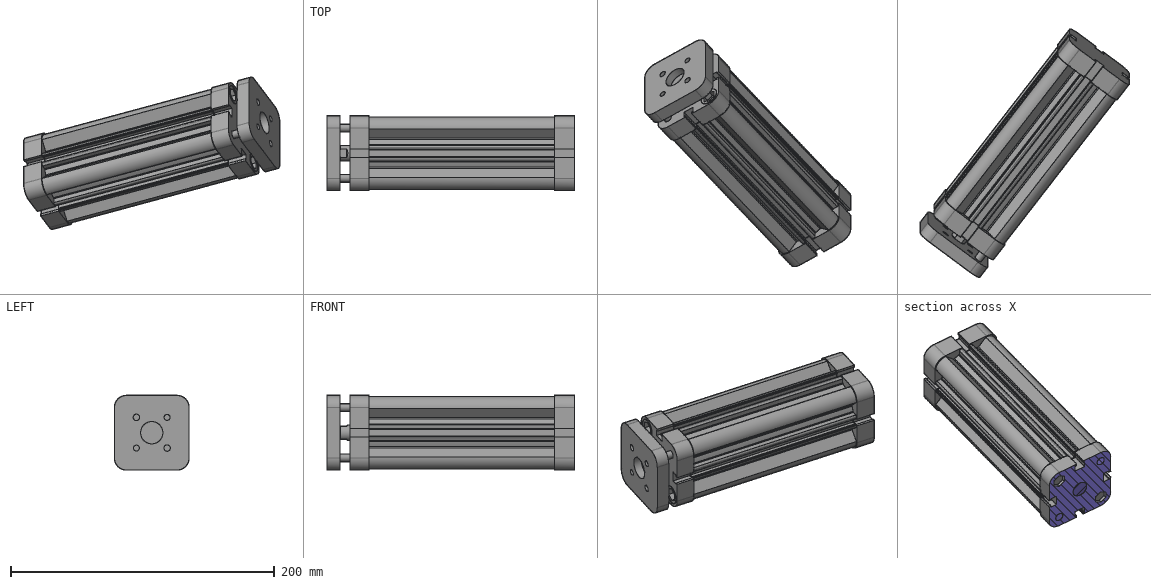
import cadquery as cq
import math

total_length = 188.0
plate_thickness = 10.0
housing_start = 17.3
front_cap_length = 14.5
rear_cap_length = 15.0
barrel_start = housing_start + front_cap_length
barrel_end = total_length - rear_cap_length
barrel_length = barrel_end - barrel_start

cap_width = 57.0
cap_half_width = cap_width / 2
cap_corner_radius = 9.4
corner_axis_offset = cap_half_width - cap_corner_radius

slot_opening = 6.2
slot_half_opening = slot_opening / 2
cap_slot_half_width = 4.1
cap_lip_thickness = 1.9
cap_slot_depth = 6.5

barrel_half_width = 27.6
barrel_corner_radius = 9.2
barrel_corner_start = barrel_half_width - barrel_corner_radius
pocket_depth = 6.8
core_radius = 23.3
core_half_width = 10.5

rail_half_width = 6.0
rail_root_chamfer = 0.5
rail_edge_width = 1.7
rail_edge_drop = 1.0
barrel_slot_chamfer = 0.5
barrel_lip_thickness = 1.5
barrel_slot_depth = 4.9

rod_radius = 6.0
rod_chamfer = 0.4
rod_flat_height = 5.0
rod_flat_length = 4.9
rod_flat_runout = rod_radius - rod_flat_height

guide_radius = 3.0
guide_places = [(-corner_axis_offset, corner_axis_offset), (corner_axis_offset, -corner_axis_offset)]
socket_places = [(corner_axis_offset, corner_axis_offset), (-corner_axis_offset, -corner_axis_offset)]
socket_flat_width = 9.0
socket_depth = 4.7
head_radius = 7.1
head_sink = 0.4

recess_radius = 8.5
recess_depth = 6.4
plate_hole_offset = 11.7
large_hole_radius = 2.5
small_hole_radius = 2.3
large_hole_places = [(plate_hole_offset, plate_hole_offset), (-plate_hole_offset, -plate_hole_offset)]
small_hole_places = [(-plate_hole_offset, plate_hole_offset), (plate_hole_offset, -plate_hole_offset)]


def section_plane(x):
    """Work plane across the axis at x, with local axes along Y and Z."""
    return cq.Workplane("YZ", origin=(x, 0, 0))


def rounded_square(x, length, half_width, corner_radius):
    block = section_plane(x).rect(2 * half_width, 2 * half_width).extrude(length)
    return block.edges("|X").fillet(corner_radius)


def round_bars(x, length, radius, places):
    return section_plane(x).pushPoints(places).circle(radius).extrude(length)


def symmetric_groove(x, length, right_half):
    """Groove whose outline is the given half plus its mirror image."""
    left_half = [(-across, out) for across, out in reversed(right_half)]
    return section_plane(x).polyline(right_half + left_half).close().extrude(length)


def cut_from_four_sides(body, groove):
    for side in range(4):
        body = body.cut(groove.rotate((0, 0, 0), (1, 0, 0), 90 * side))
    return body


def make_plate():
    plate = rounded_square(0, plate_thickness, cap_half_width, cap_corner_radius)
    plate = plate.cut(round_bars(0, recess_depth, recess_radius, [(0, 0)]))
    plate = plate.cut(round_bars(0, plate_thickness, large_hole_radius, large_hole_places))
    return plate.cut(round_bars(0, plate_thickness, small_hole_radius, small_hole_places))


def make_cap(x, length):
    cap = rounded_square(x, length, cap_half_width, cap_corner_radius)
    lip = cap_half_width - cap_lip_thickness
    floor = cap_half_width - cap_slot_depth
    slot_outline = [
        (slot_half_opening, cap_half_width),
        (slot_half_opening, lip),
        (cap_slot_half_width, lip),
        (cap_slot_half_width, floor),
    ]
    return cut_from_four_sides(cap, symmetric_groove(x, length, slot_outline))


def on_core(across):
    """Point of the round core at a sideways distance from the middle of a side."""
    return (across, math.sqrt(core_radius**2 - across**2))


def make_pocket():
    """Open pocket between a barrel corner and the neighbouring rail."""
    rail_edge_radius = (rail_edge_width**2 + rail_edge_drop**2) / (2 * rail_edge_drop)
    half_bend = math.asin(rail_edge_width / rail_edge_radius) / 2
    rail_root = rail_half_width + rail_root_chamfer
    rail_face_end = rail_half_width - rail_edge_width
    bend_middle = (
        rail_face_end + rail_edge_radius * math.sin(half_bend),
        barrel_half_width - rail_edge_radius * (1 - math.cos(half_bend)),
    )
    return (
        section_plane(barrel_start)
        .moveTo(barrel_corner_start, barrel_half_width)
        .lineTo(barrel_corner_start - pocket_depth, barrel_half_width - pocket_depth)
        .lineTo(*on_core(core_half_width))
        .threePointArc(on_core((core_half_width + rail_root) / 2), on_core(rail_root))
        .lineTo(rail_half_width, on_core(rail_root)[1] + rail_root_chamfer)
        .lineTo(rail_half_width, barrel_half_width - rail_edge_drop)
        .threePointArc(bend_middle, (rail_face_end, barrel_half_width))
        .close()
        .extrude(barrel_length)
    )


def make_barrel():
    barrel = rounded_square(barrel_start, barrel_length, barrel_half_width, barrel_corner_radius)
    lip = barrel_half_width - barrel_lip_thickness
    throat = slot_half_opening - barrel_slot_chamfer
    floor = barrel_half_width - barrel_slot_depth
    slot_outline = [
        (slot_half_opening, barrel_half_width),
        (throat, barrel_half_width - barrel_slot_chamfer),
        (throat, lip),
        (slot_half_opening, lip),
        (slot_half_opening, floor),
    ]
    pocket = make_pocket()
    for groove in (symmetric_groove(barrel_start, barrel_length, slot_outline), pocket, pocket.mirror("XZ")):
        barrel = cut_from_four_sides(barrel, groove)
    return barrel


def make_sockets():
    """Sunk screw heads with hexagon sockets, two flats of each facing along Y."""
    corner_distance = socket_flat_width / math.sqrt(3)
    sockets = round_bars(housing_start, head_sink, head_radius, socket_places)
    for y, z in socket_places:
        corners = []
        for corner in range(6):
            angle = (corner + 0.5) * math.pi / 3
            corners.append((y + corner_distance * math.cos(angle), z + corner_distance * math.sin(angle)))
        hexagon = section_plane(housing_start).polyline(corners).close()
        sockets = sockets.union(hexagon.extrude(socket_depth))
    return sockets


def make_housing():
    front_cap = make_cap(housing_start, front_cap_length)
    rear_cap = make_cap(barrel_end, rear_cap_length)
    housing = front_cap.union(make_barrel()).union(rear_cap)
    housing = housing.cut(round_bars(housing_start, front_cap_length, rod_radius, [(0, 0)]))
    housing = housing.cut(round_bars(housing_start, front_cap_length, guide_radius, guide_places))
    return housing.cut(make_sockets())


def make_piston_rod():
    """Rod from the plate into the front cap, flattened above and below beside the plate."""
    rod = round_bars(plate_thickness, barrel_start - plate_thickness, rod_radius, [(0, 0)])
    rod = rod.faces("<X").chamfer(rod_chamfer)
    flat_end = plate_thickness + rod_flat_length
    flat_outline = [
        (plate_thickness, rod_flat_height),
        (flat_end, rod_flat_height),
        (flat_end + rod_flat_runout, rod_radius),
        (plate_thickness, rod_radius),
    ]
    flat = cq.Workplane("XZ").polyline(flat_outline).close().extrude(rod_radius, both=True)
    return rod.cut(flat).cut(flat.mirror("XY"))


def make_guide_rod(place):
    return round_bars(plate_thickness, barrel_start - plate_thickness, guide_radius, [place])


plate = make_plate()
housing = make_housing()
piston_rod = make_piston_rod()
guide_rods = [make_guide_rod(place) for place in guide_places]

result = cq.Compound.makeCompound(
    [plate.val(), housing.val(), piston_rod.val(), *[guide_rod.val() for guide_rod in guide_rods]]
)